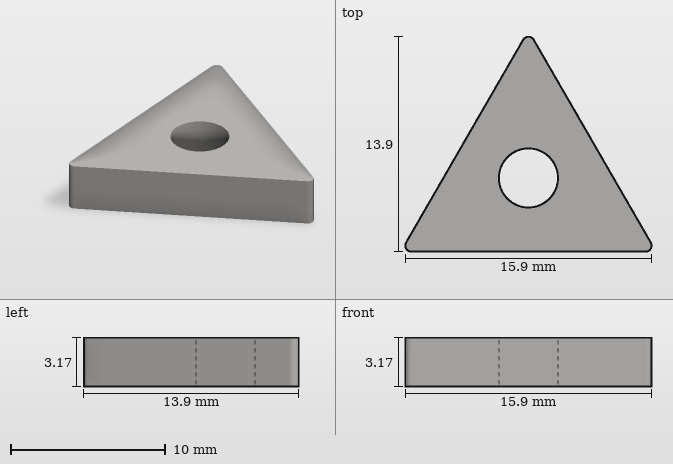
import cadquery as cq
import math

overall_width = 15.92
thickness = 3.17
nose_radius = 0.4
hole_diameter = 3.8

nose_spacing = overall_width - 2 * nose_radius
nose_circle_radius = nose_spacing / math.sqrt(3)
sharp_corner_radius = nose_circle_radius + 2 * nose_radius


def corner(angle_degrees):
    """Sharp corner of the triangle in the given direction from its centre."""
    angle = math.radians(angle_degrees)
    return (sharp_corner_radius * math.cos(angle), sharp_corner_radius * math.sin(angle))


corners = [corner(angle) for angle in (90, 210, 330)]
plate = cq.Workplane("XY").polyline(corners).close().extrude(thickness)
plate = plate.edges("|Z").fillet(nose_radius)

result = plate.faces(">Z").workplane(origin=(0, 0, thickness)).hole(hole_diameter)